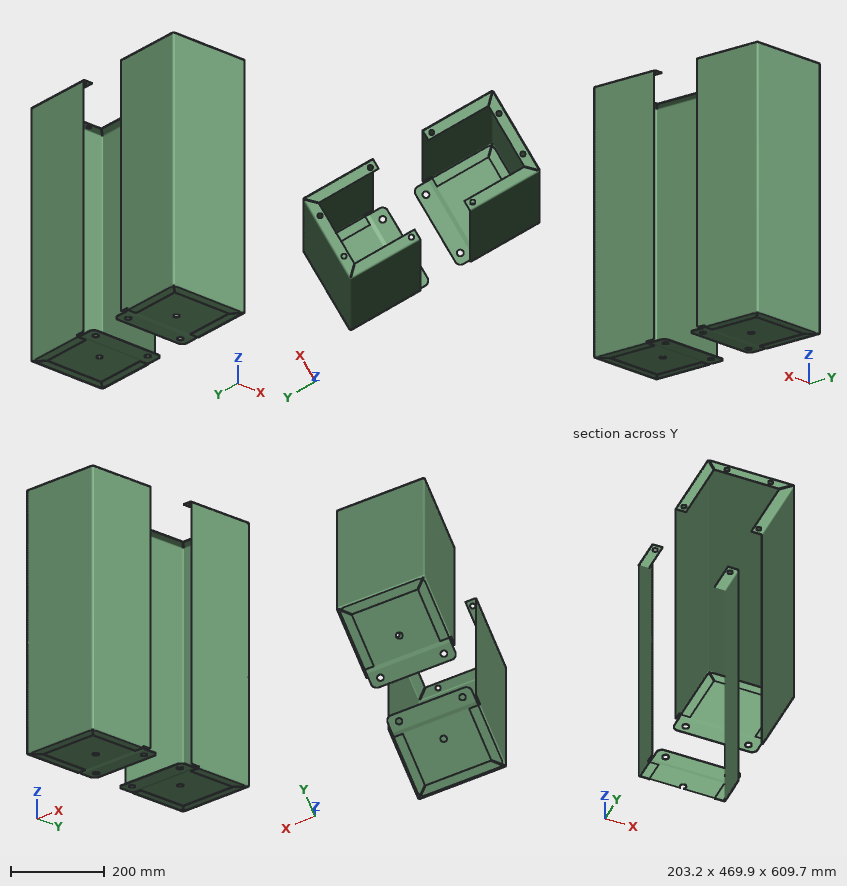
import cadquery as cq

width = 203.2
overall_depth = 469.9
height = 609.74

sheet = 1.9
bend_outer = 4.5
bend_inner = bend_outer - sheet

shell_depth = 173.6
flange_width = 25.4
wall_corner_chamfer = 2.5
miter_gap = 2.2

flange_hole_diameter = 11.11
flange_hole_inset = 14.29
back_hole_spacing = 101.6

plate_width = width - 2 * bend_outer
plate_back = bend_outer
plate_front = 200.7
plate_corner_radius = 12.7
step_start = 153.3
step_end = 162.2
step_clearance = 1.0
plate_hole_diameter = 14.29
tongue_hole_spacing = 146.05
tongue_hole_inset = 19.05
center_hole_offset = 108.6



def box_between(x_range, y_range, z_range):
    """Box spanning the given ranges."""
    corner = cq.Vector(x_range[0], y_range[0], z_range[0])
    size = [end - start for start, end in (x_range, y_range, z_range)]
    return cq.Workplane("XY").box(*size, centered=False).translate(corner)


def rounded_block(inset, radius):
    """Block inset from the outside of the shell, rounded except at its open front end."""
    half = width / 2 - inset
    block = box_between((-half, half), (inset, shell_depth), (inset, height - inset))
    block = block.edges("|Z and <Y").fillet(radius)
    return block.faces("<Z or >Z").edges("not >Y").fillet(radius)


def flange_opening():
    """Space left clear between the flanges at both ends of the shell."""
    half = width / 2 - flange_width
    return box_between((-half, half), (flange_width, shell_depth), (0, height))


def miter_slit(side):
    """Diagonal slit parting the back flanges from the side flange on one side."""
    reach = 2 ** 0.5 * flange_width
    start = 2 ** 0.5 * bend_outer
    half_gap = miter_gap / 2
    inward_angle = 90 + 45 * side
    slit = box_between((start, reach + miter_gap), (-half_gap, half_gap), (0, height))
    slit = slit.rotate((0, 0, 0), (0, 0, 1), inward_angle)
    return slit.translate((side * width / 2, 0, 0))


def step_relief():
    """Clears the bottom flanges and bends where the base plate steps down."""
    return box_between((-width / 2, width / 2), (step_start - step_clearance, shell_depth), (0, bend_outer))


def flange_holes():
    """Holes through the top flanges: two at the back and one near each open end."""
    side_x = width / 2 - flange_hole_inset
    points = []
    for side in (-1, 1):
        points.append((side * back_hole_spacing / 2, flange_hole_inset))
        points.append((side * side_x, shell_depth - flange_hole_inset))
    top_flange_bottom = cq.Workplane("XY").workplane(offset=height - sheet)
    return top_flange_bottom.pushPoints(points).circle(flange_hole_diameter / 2).extrude(sheet)


def make_shell():
    shell = rounded_block(0, bend_outer).cut(rounded_block(sheet, bend_inner))
    shell = shell.cut(flange_opening())
    for side in (-1, 1):
        shell = shell.cut(miter_slit(side))
    shell = shell.cut(step_relief()).cut(flange_holes())
    return shell.faces(">Y").edges("|X and <Z").chamfer(wall_corner_chamfer)


def round_step_bend(plate, bend_y, inner_z, outer_z):
    """Round both surfaces of the plate along one bend line of its step."""
    for z, radius in ((inner_z, bend_inner), (outer_z, bend_outer)):
        bend_line = cq.selectors.NearestToPointSelector((0, bend_y, z))
        plate = plate.edges(bend_line).fillet(radius)
    return plate


def make_base_plate():
    profile = [
        (plate_back, sheet),
        (step_start, sheet),
        (step_end, 0),
        (plate_front, 0),
        (plate_front, sheet),
        (step_end, sheet),
        (step_start, 2 * sheet),
        (plate_back, 2 * sheet),
    ]
    plate = cq.Workplane("YZ").polyline(profile).close().extrude(plate_width / 2, both=True)
    plate = plate.faces("<Y or >Y").edges("|Z").fillet(plate_corner_radius)
    plate = round_step_bend(plate, step_start, sheet, 2 * sheet)
    plate = round_step_bend(plate, step_end, sheet, 0)

    tongue_hole_y = plate_front - tongue_hole_inset
    half_spacing = tongue_hole_spacing / 2
    points = [
        (-half_spacing, tongue_hole_y),
        (half_spacing, tongue_hole_y),
        (0, center_hole_offset),
    ]
    holes = cq.Workplane("XY").pushPoints(points).circle(plate_hole_diameter / 2).extrude(2 * sheet)
    return plate.cut(holes)


def place(body, turn):
    """Move a body's back face to the -Y end, then turn it about Z to its own end."""
    return body.translate((0, -overall_depth / 2, 0)).rotate((0, 0, 0), (0, 0, 1), turn)


shell = make_shell()
base_plate = make_base_plate()

bodies = []
for turn in (0, 180):
    bodies.append(place(shell, turn).val())
    bodies.append(place(base_plate, turn).val())

result = cq.Compound.makeCompound(bodies)